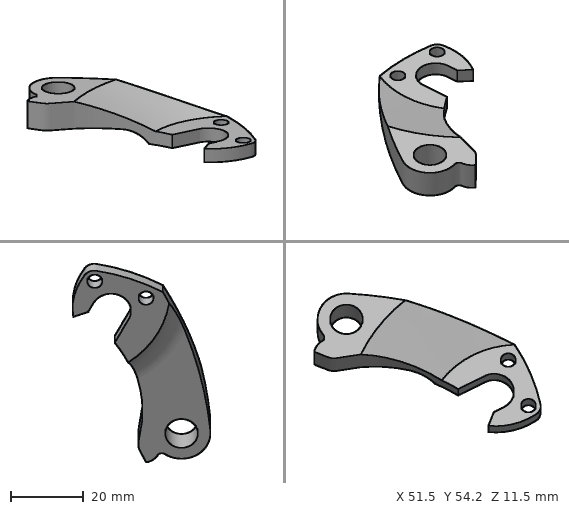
import cadquery as cq
import math

TOTAL_HEIGHT = 11.5
MOUNT_THICKNESS = 4.0
PIVOT_THICKNESS = 2 * MOUNT_THICKNESS
PIVOT_UNDERSIDE = TOTAL_HEIGHT - PIVOT_THICKNESS

PIVOT_HOLE_DIAMETER = 9.0
PIVOT_END_RADIUS = 7.95

MOUNT_HOLE_DIAMETER = 4.1
MOUNT_HOLES_Y = 38.15
MOUNT_HOLES_X = (24.65, 39.75)

STEP_AXIS = (45.1, 32.95)
SLOPE_FOOT_RADIUS = 25.65
SLOPE_CREST_RADIUS = 47.25
HOLLOW_FOOT_RADIUS = 27.6
HOLLOW_CREST_RADIUS = 35.0
CUTTER_RADIUS = 70.45


def make_outline():
    """Extrude the plan shape of the hanger to the full height."""
    tab_tip = (5.85, -11.85)
    pivot_end_start_y = 3.4
    pivot_end_start = (-math.sqrt(PIVOT_END_RADIUS**2 - pivot_end_start_y**2), pivot_end_start_y)
    pivot_end_finish_x = 1.9
    pivot_end_finish = (pivot_end_finish_x, -math.sqrt(PIVOT_END_RADIUS**2 - pivot_end_finish_x**2))
    pivot_end_middle = (-PIVOT_END_RADIUS * math.sin(math.pi / 4), -PIVOT_END_RADIUS * math.cos(math.pi / 4))
    return (
        cq.Workplane("XY")
        .moveTo(*pivot_end_start)
        .threePointArc((5.3, 24.2), (21.0, 41.55))
        .threePointArc((31.5, 42.35), (40.65, 41.4))
        .threePointArc((42.3, 40.45), (43.05, 38.9))
        .threePointArc((43.5, 32.8), (41.4, 25.6))
        .lineTo(38.05, 28.5)
        .lineTo(37.6, 31.85)
        .threePointArc((32.15, 36.4), (26.8, 30.85))
        .lineTo(27.85, 22.0)
        .threePointArc((17.65, 12.25), (11.5, -0.3))
        .lineTo(10.1, -6.95)
        .threePointArc((9.6, -8.2), (8.65, -9.25))
        .lineTo(6.4, -11.55)
        .lineTo(*tab_tip)
        .threePointArc((4.45, -10.45), (3.8, -8.9))
        .threePointArc((3.25, -7.9), pivot_end_finish)
        .threePointArc(pivot_end_middle, pivot_end_start)
        .close()
        .extrude(TOTAL_HEIGHT)
    )


def revolve_about_step_axis(profile):
    """Revolve a (radius, height) profile about the shared vertical axis."""
    return profile.revolve(360, (0, 0, 0), (0, 1, 0)).translate((*STEP_AXIS, 0))


def make_top_cutter():
    """Flat clearance over the mount end, bounded by a cone rising to the pivot end."""
    return revolve_about_step_axis(
        cq.Workplane("XZ")
        .moveTo(0, MOUNT_THICKNESS)
        .lineTo(SLOPE_FOOT_RADIUS, MOUNT_THICKNESS)
        .lineTo(SLOPE_CREST_RADIUS, TOTAL_HEIGHT)
        .lineTo(0, TOTAL_HEIGHT)
        .close()
    )


def make_underside_cutter():
    """Clearance below the pivot end, meeting the mount end in a concave arc."""
    run = HOLLOW_CREST_RADIUS - HOLLOW_FOOT_RADIUS
    arc_radius = (run**2 + PIVOT_UNDERSIDE**2) / (2 * PIVOT_UNDERSIDE)
    half_sweep = math.asin(run / arc_radius) / 2
    arc_middle = (
        HOLLOW_CREST_RADIUS - arc_radius * math.sin(half_sweep),
        PIVOT_UNDERSIDE - arc_radius * (1 - math.cos(half_sweep)),
    )
    return revolve_about_step_axis(
        cq.Workplane("XZ")
        .moveTo(HOLLOW_FOOT_RADIUS, 0)
        .threePointArc(arc_middle, (HOLLOW_CREST_RADIUS, PIVOT_UNDERSIDE))
        .lineTo(CUTTER_RADIUS, PIVOT_UNDERSIDE)
        .lineTo(CUTTER_RADIUS, 0)
        .close()
    )


def make_hole(x, y, diameter):
    """Cylinder through the full height."""
    return cq.Workplane("XY").center(x, y).circle(diameter / 2).extrude(TOTAL_HEIGHT)


result = make_outline().cut(make_top_cutter()).cut(make_underside_cutter())
result = result.cut(make_hole(0, 0, PIVOT_HOLE_DIAMETER))
for hole_x in MOUNT_HOLES_X:
    result = result.cut(make_hole(hole_x, MOUNT_HOLES_Y, MOUNT_HOLE_DIAMETER))